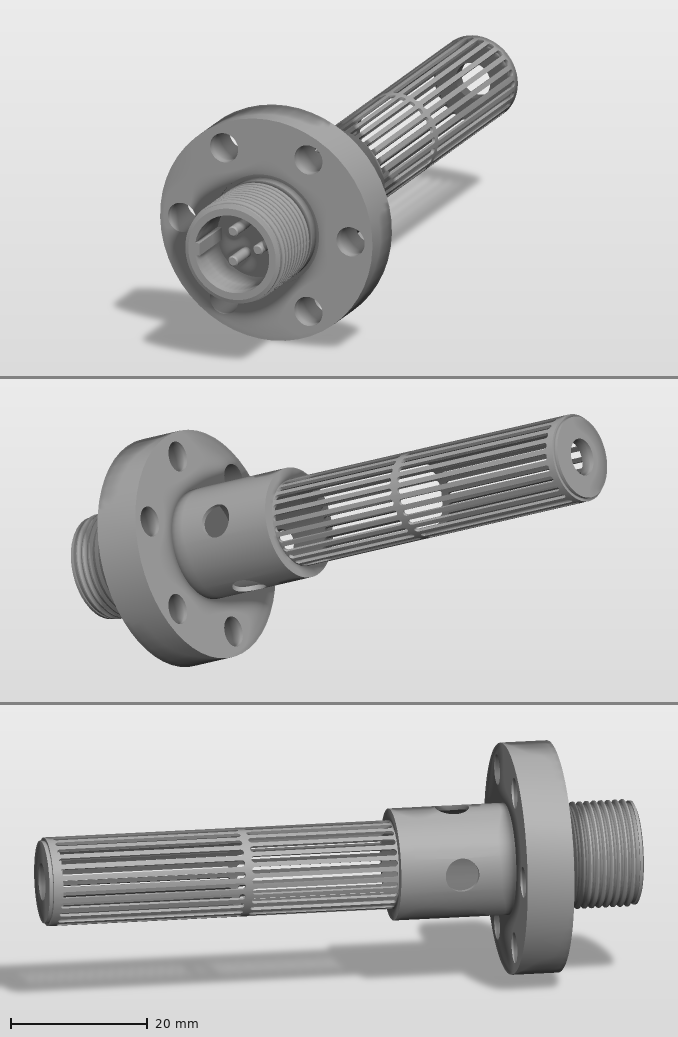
import cadquery as cq
import math


overall_length = 88.2
thread_end = 11.07
flange_front = 12.25
flange_thickness = 6.95
flange_back = flange_front + flange_thickness
barrel_back = 36.3

flange_radius = 17.0
bolt_circle_radius = 13.5
bolt_hole_radius = 2.25
bolt_count = 6
barrel_radius = 8.2
barrel_bore_radius = 7.5
back_wall = 2.2
port_radius = 2.5
port_setback = 8.0
port_y = flange_back + port_setback
recess_radius = 8.45
recess_depth = 0.3
tube_seat_depth = 1.2

shell_radius = 7.85
thread_root_radius = 7.35
thread_pitch = 1.06
thread_crest_width = 0.2
thread_flank_width = 0.3
thread_count = 9
tip_radius = 7.6
tip_band = 0.65
tip_chamfer_radial = 0.6
tip_chamfer_axial = 0.25
socket_radius = 5.95
key_width = 1.9
key_height = 0.75

insert_front = 8.0
pin_shank_radius = 1.25
pin_radius = 0.8
pin_tip_radius = 0.6
pin_front = 3.2
pin_circle_radius = 2.65
pin_count = 3

tube_radius = 6.5
tube_wall = 0.5
tube_bore_radius = tube_radius - tube_wall
slot_width = 0.95
cap_lip_radius = 6.05
cap_lip_height = 0.55
cap_plug_depth = 1.5
cap_hole_radius = 2.75
tube_front = barrel_back - tube_seat_depth
tube_back = overall_length - cap_lip_height
rear_slot_count = 24
rear_slot_start = 59.1
rear_slot_end = 86.6
rear_slot_angle = 3.75
front_slot_count = 25
front_slot_gap = 0.15
front_slot_start = barrel_back + front_slot_gap
front_slot_end = 58.1
front_slot_angle = 1.25


def cylinder(radius, start, end, x=0, z=0):
    """Round bar along Y between two places."""
    solid = cq.Solid.makeCylinder(radius, end - start, cq.Vector(x, start, z), cq.Vector(0, 1, 0))
    return cq.Workplane(obj=solid)


def on_circle(radius, angle):
    """X and Z of a point on a circle about the Y axis."""
    turn = math.radians(angle)
    return radius * math.cos(turn), radius * math.sin(turn)


def make_housing():
    body = cylinder(flange_radius, flange_front, flange_back)
    body = body.union(cylinder(barrel_radius, flange_back, barrel_back))
    body = body.cut(cylinder(barrel_bore_radius, flange_back, barrel_back - back_wall))
    body = body.cut(cylinder(tube_bore_radius, flange_back, barrel_back))
    body = body.cut(cylinder(shell_radius, flange_front, flange_back))
    body = body.cut(cylinder(recess_radius, flange_front, flange_front + recess_depth))
    body = body.cut(cylinder(tube_radius, tube_front, barrel_back))
    for index in range(bolt_count):
        x, z = on_circle(bolt_circle_radius, index * 360 / bolt_count)
        body = body.cut(cylinder(bolt_hole_radius, flange_front, flange_back, x, z))
    for direction in (cq.Vector(1, 0, 0), cq.Vector(0, 0, 1)):
        start = cq.Vector(0, port_y, 0) - direction * barrel_radius
        port = cq.Solid.makeCylinder(port_radius, 2 * barrel_radius, start, direction)
        body = body.cut(cq.Workplane(obj=port))
    return body


def socket_cavity(start, end):
    """Round cavity with a key left standing on its -X side."""
    block_height = 2 * key_height
    key = cq.Workplane("XY").box(block_height, end - start, key_width, centered=(True, False, True))
    key = key.translate((-socket_radius, start, 0))
    return cylinder(socket_radius, start, end).cut(key)


def make_shell():
    profile = cq.Workplane("XY").moveTo(0, 0).lineTo(tip_radius - tip_chamfer_radial, 0)
    profile = profile.lineTo(tip_radius, tip_chamfer_axial)
    profile = profile.lineTo(tip_radius, tip_band).lineTo(thread_root_radius, tip_band)
    for index in range(thread_count, 0, -1):
        crest = thread_end - index * thread_pitch
        half_crest = thread_crest_width / 2
        half_root = half_crest + thread_flank_width
        profile = profile.lineTo(thread_root_radius, crest - half_root)
        profile = profile.lineTo(shell_radius, crest - half_crest)
        profile = profile.lineTo(shell_radius, crest + half_crest)
        profile = profile.lineTo(thread_root_radius, crest + half_root)
    profile = profile.lineTo(thread_root_radius, thread_end).lineTo(shell_radius, thread_end)
    profile = profile.lineTo(shell_radius, flange_back).lineTo(0, flange_back).close()
    body = profile.revolve(360, (0, 0, 0), (0, 1, 0))
    return body.cut(socket_cavity(0, flange_back))


def pin_center(index):
    return on_circle(pin_circle_radius, index * 360 / pin_count)


def make_insert():
    body = socket_cavity(insert_front, flange_back)
    for index in range(pin_count):
        x, z = pin_center(index)
        body = body.cut(cylinder(pin_shank_radius, insert_front, flange_back, x, z))
    return body


def make_pin(index):
    x, z = pin_center(index)
    contact = cylinder(pin_radius, pin_front, insert_front, x, z)
    contact = contact.faces("<Y").chamfer(pin_radius - pin_tip_radius)
    return contact.union(cylinder(pin_shank_radius, insert_front, flange_back, x, z))


def cut_slots(body, count, start, end, first_angle):
    """Cut a ring of round-ended lengthwise slots through the wall; angles run from +Z toward -X."""
    length = end - start
    slot = cq.Workplane("XY").center(0, (start + end) / 2).slot2D(length, slot_width, 90)
    slot = slot.extrude(2 * tube_radius)
    slots = []
    for index in range(count):
        angle = first_angle + index * 360 / count
        slots.append(slot.rotate((0, 0, 0), (0, 1, 0), -angle).val())
    return body.cut(cq.Workplane(obj=cq.Compound.makeCompound(slots)))


def make_tube():
    body = cylinder(tube_radius, tube_front, tube_back)
    body = body.cut(cylinder(tube_bore_radius, tube_front, tube_back))
    body = cut_slots(body, rear_slot_count, rear_slot_start, rear_slot_end, rear_slot_angle)
    return cut_slots(body, front_slot_count, front_slot_start, front_slot_end, front_slot_angle)


def make_cap():
    plug = cylinder(tube_bore_radius, tube_back - cap_plug_depth, tube_back)
    body = plug.union(cylinder(cap_lip_radius, tube_back, overall_length))
    return body.cut(cylinder(cap_hole_radius, tube_back - cap_plug_depth, overall_length))


housing = make_housing()
shell = make_shell()
insert = make_insert()
pins = [make_pin(index) for index in range(pin_count)]
tube = make_tube()
cap = make_cap()

result = cq.Compound.makeCompound(
    [housing.val(), shell.val(), insert.val(), *[pin.val() for pin in pins], tube.val(), cap.val()]
)